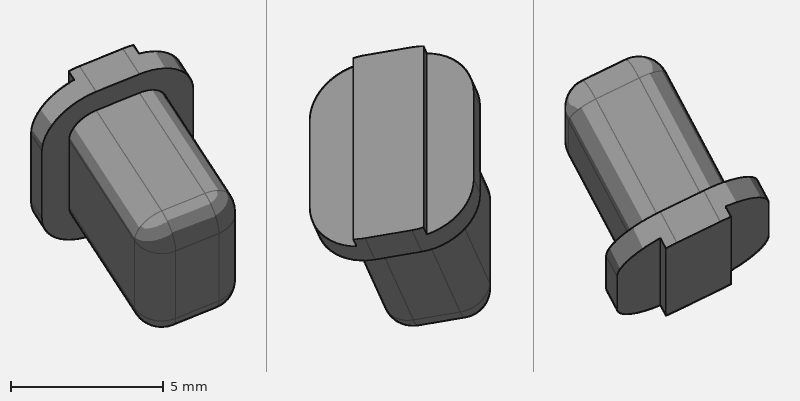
import cadquery as cq

body_width = 3.6
body_height = 5.6
body_length = 5.7
body_radius = 1.0

flange_overhang = 1.0
flange_thickness = 0.8
flange_width = body_width + 2 * flange_overhang
flange_height = body_height + 2 * flange_overhang
flange_radius = body_radius + flange_overhang

strip_width = 2.4
strip_thickness = 0.4

flange_start = strip_thickness
body_start = flange_start + flange_thickness


def rounded_bar(start, length, width, height, radius):
    """Box along X, centred on the X axis, with its long edges rounded."""
    return (
        cq.Workplane("YZ", origin=(start, 0, 0))
        .rect(width, height)
        .extrude(length)
        .edges("|X")
        .fillet(radius)
    )


def make_body():
    body = rounded_bar(body_start, body_length, body_width, body_height, body_radius)
    return body.faces(">X").edges().fillet(body_radius)


def make_flange():
    return rounded_bar(flange_start, flange_thickness, flange_width, flange_height, flange_radius)


def make_strip():
    """Full-height strip whose ends follow the rounded flange outline."""
    outline = rounded_bar(0, strip_thickness, flange_width, flange_height, flange_radius)
    band = (
        cq.Workplane("YZ")
        .rect(strip_width, flange_height)
        .extrude(strip_thickness)
    )
    return outline.intersect(band)


result = make_flange().union(make_strip()).union(make_body())